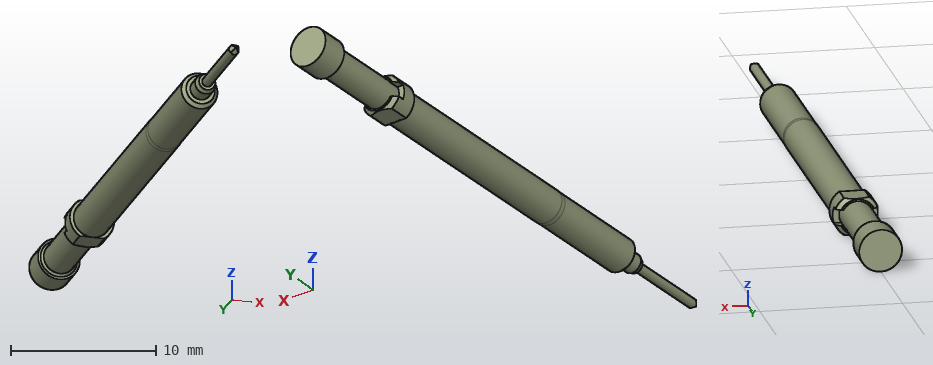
import cadquery as cq
import math

LENGTH = 44.8

PROBE_DIA = 0.7
PLUNGER_END_DIA = 1.15
PLUNGER_DIA = 1.5
BODY_END_DIA = 2.05
LOWER_BODY_DIA = 2.6
BODY_DIA = 2.65
COLLAR_DIA = 3.2
NECK_DIA = 2.3
HEAD_ROOT_DIA = 2.65
HEAD_DIA = 3.0

TIP_LENGTH = 0.55
PLUNGER_START = 7.0
PLUNGER_TAPER_END = 7.4
BODY_START = 8.55
BODY_TAPER_START = 16.95
BODY_TAPER_END = 17.35
COLLAR_START = 34.68
COLLAR_END = 36.65
HEAD_START = 42.65

BODY_CHAMFER = (LOWER_BODY_DIA - BODY_END_DIA) / 2
COLLAR_CHAMFER = 0.3
HEAD_ROOT_TAPER = 0.2

FLAT_DISTANCE = BODY_DIA
SLOT_WIDTH = 1.1
SLOT_END = 35.85


def turned_blank():
    """Revolve the stepped half profile about the Y axis."""
    stations = [
        (0, 0),
        (0, PROBE_DIA),
        (PLUNGER_START, PROBE_DIA),
        (PLUNGER_START, PLUNGER_END_DIA),
        (PLUNGER_TAPER_END, PLUNGER_DIA),
        (BODY_START, PLUNGER_DIA),
        (BODY_START, BODY_END_DIA),
        (BODY_START + BODY_CHAMFER, LOWER_BODY_DIA),
        (BODY_TAPER_START, LOWER_BODY_DIA),
        (BODY_TAPER_END, BODY_DIA),
        (COLLAR_START, BODY_DIA),
        (COLLAR_START, COLLAR_DIA),
        (COLLAR_END - COLLAR_CHAMFER, COLLAR_DIA),
        (COLLAR_END, COLLAR_DIA - 2 * COLLAR_CHAMFER),
        (COLLAR_END, NECK_DIA),
        (HEAD_START - HEAD_ROOT_TAPER, NECK_DIA),
        (HEAD_START, HEAD_ROOT_DIA),
        (HEAD_START, HEAD_DIA),
        (LENGTH, HEAD_DIA),
        (LENGTH, 0),
    ]
    profile = [(y, diameter / 2) for y, diameter in stations]
    return cq.Workplane("YZ").polyline(profile).close().revolve(360, (0, 0, 0), (1, 0, 0))


def collar_flats():
    """Material outside the two flats of the collar."""
    collar_length = COLLAR_END - COLLAR_START
    middle = (0, (COLLAR_START + COLLAR_END) / 2, 0)
    stock = cq.Workplane("XY").box(COLLAR_DIA, collar_length, COLLAR_DIA).translate(middle)
    kept = cq.Workplane("XY").box(COLLAR_DIA, collar_length, FLAT_DISTANCE).translate(middle)
    return stock.cut(kept)


def collar_slots():
    """Slot through both sides of the collar, open at its head end and as deep as the neck."""
    slot_length = COLLAR_END - SLOT_END
    bar = (
        cq.Workplane("XY")
        .box(COLLAR_DIA, slot_length, SLOT_WIDTH)
        .translate((0, (SLOT_END + COLLAR_END) / 2, 0))
    )
    neck = cq.Workplane("XZ").circle(NECK_DIA / 2).extrude(-LENGTH)
    return bar.cut(neck)


def tip_waste():
    """Material around the four-sided pyramid point, whose base is as wide as the probe."""
    stock = cq.Workplane("XZ").rect(PROBE_DIA, PROBE_DIA).extrude(-TIP_LENGTH)
    face_angle = math.degrees(math.atan2(PROBE_DIA / 2, TIP_LENGTH))
    pyramid = (
        cq.Workplane("XZ", origin=(0, TIP_LENGTH, 0))
        .rect(PROBE_DIA, PROBE_DIA)
        .extrude(TIP_LENGTH, taper=face_angle)
    )
    return stock.cut(pyramid)


result = turned_blank().cut(collar_flats()).cut(collar_slots()).cut(tip_waste())